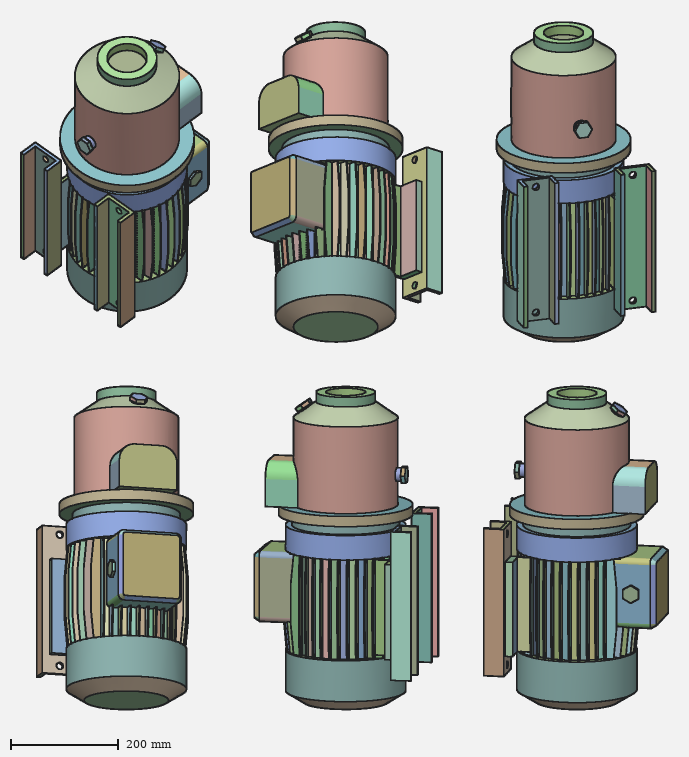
import cadquery as cq
import math


motor_radius = 112.0
end_cap_radius = 78.5
end_cap_height = 21.0
fins_bottom = 98.0
fins_top = 288.5
shoulder_top = 334.5
neck_radius = 100.0
flange_radius = 124.5
flange_bottom = 354.0
flange_top = 373.0

core_radius = 97.0
fin_pitch_radius = 107.0
fin_thickness = 2.5
fins_per_side = 10
fin_pitch_angle = 90 / fins_per_side
fin_end_radius = 110.0
fin_bulge = 5.0
fin_taper_height = 54.5

box_width = 121.5
box_height = 133.5
box_corner_radius = 10.5
box_end_y = 162.0
lid_bevel_depth = 10.5
lid_bevel_inset = 6.5
gland_y = 116.0
gland_z = fins_top - box_height / 2
gland_height = 5.0

rail_span = 258.0
rail_width = 68.0
rail_depth = 38.0
rail_thickness = 7.5
rail_bottom = 68.5
rail_length = 280.0
rail_back_y = -motor_radius
rail_center_x = (rail_span - rail_width) / 2
rail_hole_diameter = 13.0
rail_hole_end_distance = 15.0

foot_inner_x = 64.5
foot_outer_x = 115.0
foot_web_thickness = 7.0
foot_pad_thickness = 14.0
foot_web_end_y = -71.0
foot_bottom = 104.0
foot_length = 179.5

pump_radius = 97.0
cone_bottom = 537.0
inlet_bottom = 567.0
total_height = 585.0
inlet_radius = 55.0
inlet_bore_radius = 37.0
outlet_width = 111.0
outlet_height = 82.5
outlet_corner_radius = 30.5
outlet_end_y = 141.0

hex_across_flats = 29.0
hex_corner_diameter = hex_across_flats / math.cos(math.radians(30))
plug_head_height = 8.0
plug_shank_radius = 13.0
drain_z = 433.0
drain_shank_length = 10.0
vent_shank_length = 2.0
plug_root_depth = 6.0


def revolved(points):
    """Solid of revolution about Z from (radius, z) points."""
    return cq.Workplane("XZ").polyline(points).close().revolve(360, (0, 0), (0, 1))


def make_plug(seat, shank_length):
    """Round shank with a hexagon head, standing on the plane `seat`."""
    shank = (
        cq.Workplane(seat)
        .workplane(offset=-plug_root_depth)
        .circle(plug_shank_radius)
        .extrude(plug_root_depth + shank_length)
    )
    head = (
        cq.Workplane(seat)
        .workplane(offset=shank_length)
        .polygon(6, hex_corner_diameter)
        .extrude(plug_head_height)
    )
    return shank.union(head)


def make_motor_frame():
    """Turned frame of the motor: end cap, fin core, shoulder, neck and flange."""
    return revolved([
        (0, 0),
        (end_cap_radius, 0),
        (motor_radius, end_cap_height),
        (motor_radius, fins_bottom),
        (core_radius, fins_bottom),
        (core_radius, fins_top),
        (motor_radius, fins_top),
        (motor_radius, shoulder_top),
        (neck_radius, shoulder_top),
        (neck_radius, flange_bottom),
        (flange_radius, flange_bottom),
        (flange_radius, flange_top),
        (0, flange_top),
    ])


def make_fin(offset):
    """Plate on the +X side at Y = offset, its flat tip tapering back towards both ends."""
    outer_corner_y = abs(offset) + fin_thickness / 2
    end_x = math.sqrt(fin_end_radius**2 - outer_corner_y**2)
    middle_x = end_x + fin_bulge
    root_x = core_radius / 2
    return (
        cq.Workplane("XZ", origin=(0, offset, 0))
        .polyline([
            (root_x, fins_bottom),
            (end_x, fins_bottom),
            (middle_x, fins_bottom + fin_taper_height),
            (middle_x, fins_top - fin_taper_height),
            (end_x, fins_top),
            (root_x, fins_top),
        ])
        .close()
        .extrude(fin_thickness / 2, both=True)
    )


def make_fins():
    """Plates parallel to X on the +X and -X sides and parallel to Y on the other two sides."""
    fins = []
    for side in range(4):
        for index in range(fins_per_side):
            angle = (index - (fins_per_side - 1) / 2) * fin_pitch_angle
            fin = make_fin(fin_pitch_radius * math.sin(math.radians(angle)))
            fins.append(fin.rotate((0, 0, 0), (0, 0, 1), 90 * side))
    return fins


def make_terminal_box():
    """Box with rounded corners, a bevelled lid on +Y and a hexagon gland on +X."""
    box = (
        cq.Workplane()
        .box(box_width, box_end_y, box_height, centered=(True, False, False))
        .translate((0, 0, fins_top - box_height))
        .edges("|Y")
        .fillet(box_corner_radius)
    )
    lid_edges = box.faces(">Y").edges().vals()
    box = cq.Workplane(box.val().chamfer(lid_bevel_inset, lid_bevel_depth, lid_edges))
    gland = (
        cq.Workplane("YZ", origin=(0, gland_y, gland_z))
        .polygon(6, hex_corner_diameter)
        .extrude(box_width / 2 + gland_height)
        .rotate((0, gland_y, gland_z), (1, gland_y, gland_z), 90)
    )
    return box.union(gland)


def make_foot_and_rail():
    """Foot and rail on the +X side."""
    foot = (
        cq.Workplane("XY", origin=(0, 0, foot_bottom))
        .polyline([
            (foot_inner_x, rail_back_y),
            (foot_outer_x, rail_back_y),
            (foot_outer_x, rail_back_y + foot_pad_thickness),
            (foot_inner_x + foot_web_thickness, rail_back_y + foot_pad_thickness),
            (foot_inner_x + foot_web_thickness, foot_web_end_y),
            (foot_inner_x, foot_web_end_y),
        ])
        .close()
        .extrude(foot_length)
    )
    rail = (
        cq.Workplane()
        .box(rail_width, rail_depth, rail_length, centered=(True, False, False))
        .translate((rail_center_x, rail_back_y - rail_depth, rail_bottom))
    )
    channel = (
        cq.Workplane()
        .box(rail_width - 2 * rail_thickness, rail_depth, rail_length, centered=(True, False, False))
        .translate((rail_center_x, rail_back_y - rail_depth - rail_thickness, rail_bottom))
    )
    hole_levels = [
        rail_bottom + rail_hole_end_distance,
        rail_bottom + rail_length - rail_hole_end_distance,
    ]
    holes = (
        cq.Workplane("XZ", origin=(0, rail_back_y, 0))
        .pushPoints([(rail_center_x, level) for level in hole_levels])
        .circle(rail_hole_diameter / 2)
        .extrude(rail_depth)
    )
    return foot.union(rail.cut(channel).cut(holes))


def make_motor():
    motor = make_motor_frame()
    for fin in make_fins():
        motor = motor.union(fin)
    foot_and_rail = make_foot_and_rail()
    motor = motor.union(foot_and_rail).union(foot_and_rail.mirror("YZ"))
    return motor.union(make_terminal_box())


def make_outlet():
    """Block towards +Y with two rounded upper corners, level with the flange face."""
    return (
        cq.Workplane()
        .box(outlet_width, outlet_end_y, outlet_height, centered=(True, False, False))
        .translate((0, 0, flange_top))
        .edges("|Y and >Z")
        .fillet(outlet_corner_radius)
    )


def make_drain_plug():
    """Plug on the -Y side of the casing."""
    seat = cq.Plane(origin=(0, -pump_radius, drain_z), xDir=(1, 0, 0), normal=(0, -1, 0))
    return make_plug(seat, drain_shank_length)


def make_vent_plug():
    """Plug square to the cone, halfway up its +Y side."""
    cone_height = inlet_bottom - cone_bottom
    cone_run = pump_radius - inlet_radius
    seat = cq.Plane(
        origin=(0, (pump_radius + inlet_radius) / 2, (cone_bottom + inlet_bottom) / 2),
        xDir=(1, 0, 0),
        normal=(0, cone_height, cone_run),
    )
    return make_plug(seat, vent_shank_length)


def make_pump():
    casing = revolved([
        (0, flange_top),
        (pump_radius, flange_top),
        (pump_radius, cone_bottom),
        (inlet_radius, inlet_bottom),
        (inlet_radius, total_height),
        (inlet_bore_radius, total_height),
        (inlet_bore_radius, inlet_bottom),
        (0, inlet_bottom),
    ])
    return casing.union(make_outlet()).union(make_drain_plug()).union(make_vent_plug())


motor = make_motor()
pump = make_pump()

result = cq.Compound.makeCompound([motor.solids().val(), pump.solids().val()])